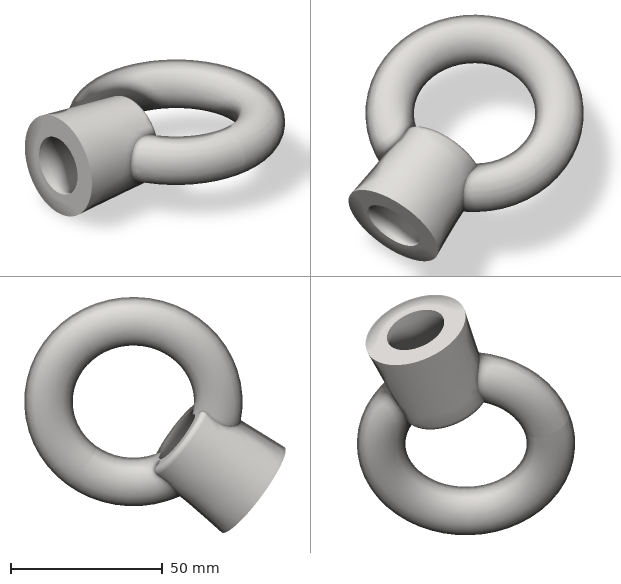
import cadquery as cq

ring_outer_diameter = 72.0
bar_diameter = 16.0
ring_centre_radius = (ring_outer_diameter - bar_diameter) / 2

overall_length = 86.0
hub_length = 31.5
hub_base_diameter = 35.0
hub_top_diameter = 30.0
hub_edge_fillet = 2.0
bore_diameter = 20.0
bore_overrun = 0.5
hub_base_y = ring_outer_diameter / 2 - overall_length


def make_ring():
    """Round bar bent into a closed ring around Z."""
    return cq.Workplane("XY").add(cq.Solid.makeTorus(ring_centre_radius, bar_diameter / 2))


def make_hub():
    """Solid cone narrowing towards the ring, with a rounded top edge."""
    cone = cq.Solid.makeCone(
        hub_base_diameter / 2,
        hub_top_diameter / 2,
        hub_length,
        pnt=cq.Vector(0, hub_base_y, 0),
        dir=cq.Vector(0, 1, 0),
    )
    return cq.Workplane("XY").add(cone).faces(">Y").edges().fillet(hub_edge_fillet)


def make_bore():
    """Straight hole through the hub, also trimming the bar just beyond it."""
    bore = cq.Solid.makeCylinder(
        bore_diameter / 2,
        hub_length + bore_overrun,
        pnt=cq.Vector(0, hub_base_y, 0),
        dir=cq.Vector(0, 1, 0),
    )
    return cq.Workplane("XY").add(bore)


result = make_ring().union(make_hub()).cut(make_bore())